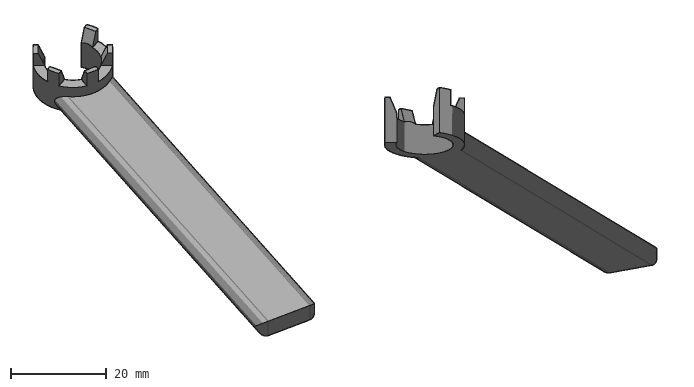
import cadquery as cq
import math

overall_length = 95.35
ring_outer_radius = 8.4
ring_inner_radius = 6.0
ring_height = 6.6
total_height = 10.0

tooth_width = 2.8
tooth_pitch_angle = 60.0
teeth_per_side = 2
tooth_top_inner_x = 7.2
tooth_base_inner_x = math.sqrt(ring_inner_radius**2 - (tooth_width / 2) ** 2)

handle_width = 14.1
handle_thickness = 4.0
edge_radius = handle_thickness / 2

last_tooth_angle = teeth_per_side * tooth_pitch_angle
end_angle = math.radians(last_tooth_angle) + math.asin(tooth_width / 2 / ring_outer_radius)
ring_left_x = ring_outer_radius * math.cos(end_angle)
handle_end_x = overall_length + ring_left_x


def cylinder(radius, height):
    return cq.Workplane("XY").circle(radius).extrude(height)


def make_ring():
    """Open ring whose mouth is bounded by the sides of the two last teeth."""
    ring = cylinder(ring_outer_radius, ring_height).cut(cylinder(ring_inner_radius, ring_height))
    reach = 2 * ring_outer_radius
    angle = math.radians(last_tooth_angle)
    axis_x = -tooth_width / 2 / math.sin(angle)
    far_x = axis_x + reach * math.cos(angle)
    far_y = reach * math.sin(angle)
    mouth = (
        cq.Workplane("XY")
        .polyline([(axis_x, 0), (far_x, far_y), (-reach, far_y), (-reach, -far_y), (far_x, -far_y)])
        .close()
        .extrude(ring_height)
    )
    return ring.cut(mouth)


def make_tooth(angle):
    """Parallel-sided tooth with a flat inner face leaning outward to its top."""
    profile = [
        (tooth_base_inner_x, 0),
        (ring_outer_radius, 0),
        (ring_outer_radius, total_height),
        (tooth_top_inner_x, total_height),
        (tooth_base_inner_x, ring_height),
    ]
    tooth = cq.Workplane("XZ").polyline(profile).close().extrude(tooth_width / 2, both=True)
    tooth = tooth.intersect(cylinder(ring_outer_radius, total_height))
    tooth = tooth.cut(cylinder(ring_inner_radius, total_height))
    return tooth.rotate((0, 0, 0), (0, 0, 1), angle)


def make_handle():
    """Flat bar with full-round long edges and rounded corners at its free end."""
    bar = (
        cq.Workplane("YZ")
        .center(0, handle_thickness / 2)
        .slot2D(handle_width, handle_thickness)
        .extrude(handle_end_x)
    )
    outline = (
        cq.Workplane("XY")
        .rect(2 * handle_end_x, handle_width)
        .extrude(handle_thickness)
        .edges("|Z")
        .fillet(edge_radius)
    )
    return bar.intersect(outline).cut(cylinder(ring_outer_radius, handle_thickness))


result = make_ring().union(make_handle())
for index in range(-teeth_per_side, teeth_per_side + 1):
    result = result.union(make_tooth(index * tooth_pitch_angle))